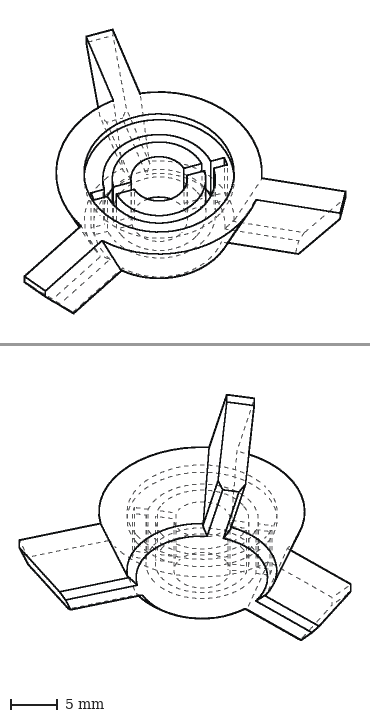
import cadquery as cq
import math

height = 9.0
arm_count = 3
arm_width = 3.0
arm_bottom_reach = 15.0
arm_tip_height = 1.0
arm_chamfer_height = 0.75
arm_chamfer_width = 0.6
overall_span = 36.15

hub_top_radius = 11.0
hub_waist_radius = 8.0
hub_waist_height = 0.95
hub_bottom_radius = 7.0

recess_diameter = 16.0
recess_depth = 1.0
bore_radius = 3.0
groove_inner_radius = 5.0
groove_outer_radius = 6.0
slot_width = 1.0
slot_length = 15.0
floor_thickness = 2.0
bore_floor_thickness = 1.0

arm_angle = math.radians(180 / arm_count)
arm_reach = (overall_span - arm_width * math.cos(arm_angle)) / (2 * math.sin(arm_angle))
recess_floor = height - recess_depth
cut_depth = recess_floor - floor_thickness


def make_hub():
    """Conical hub with a steeper bevel around its underside."""
    profile = [
        (0, 0),
        (hub_bottom_radius, 0),
        (hub_waist_radius, hub_waist_height),
        (hub_top_radius, height),
        (0, height),
    ]
    return cq.Workplane("XZ").polyline(profile).close().revolve(360, (0, 0), (0, 1))


def make_arm():
    """Arm along -X: sloping end, with its two long lower edges chamfered."""
    side_profile = [
        (0, 0),
        (-arm_bottom_reach, 0),
        (-arm_reach, height - arm_tip_height),
        (-arm_reach, height),
        (0, height),
    ]
    arm = cq.Workplane("XZ").polyline(side_profile).close().extrude(arm_width / 2, both=True)
    half_width = arm_width / 2
    half_bottom = half_width - arm_chamfer_width
    cross_section = [
        (-half_bottom, 0),
        (half_bottom, 0),
        (half_width, arm_chamfer_height),
        (half_width, height),
        (-half_width, height),
        (-half_width, arm_chamfer_height),
    ]
    envelope = cq.Workplane("YZ").polyline(cross_section).close().extrude(-arm_reach)
    return arm.intersect(envelope)


def cut_cylinder(radius):
    """Cylinder filling the space between the lower floor and the recess floor."""
    return cq.Workplane("XY").workplane(offset=floor_thickness).circle(radius).extrude(cut_depth)


result = make_hub()
for index in range(arm_count):
    turn = index * 360 / arm_count
    result = result.union(make_arm().rotate((0, 0, 0), (0, 0, 1), turn))

recess = cq.Workplane("XY").workplane(offset=recess_floor).circle(recess_diameter / 2).extrude(recess_depth)
result = result.cut(recess)

bore_depth = recess_floor - bore_floor_thickness
bore = cq.Workplane("XY").workplane(offset=bore_floor_thickness).circle(bore_radius).extrude(bore_depth)
groove = cut_cylinder(groove_outer_radius).cut(cut_cylinder(groove_inner_radius))
slot = cq.Workplane("XY").workplane(offset=floor_thickness).rect(slot_width, slot_length).extrude(cut_depth)
result = result.cut(bore.union(groove).union(slot))